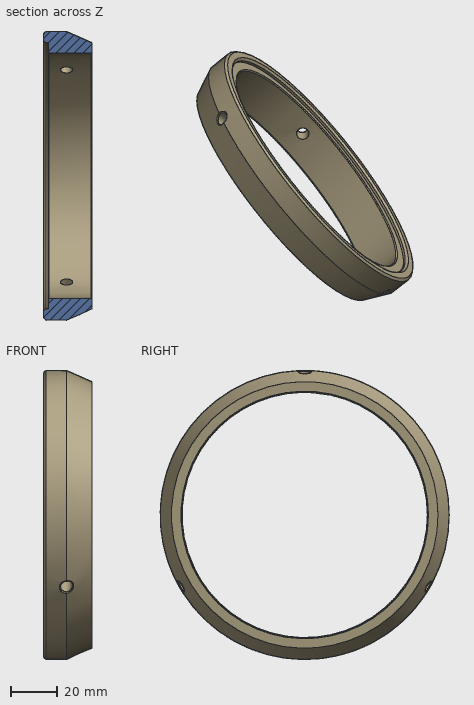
import cadquery as cq
import math

OUTER_DIAMETER = 125.0
WIDTH = 21.0
BORE_DIAMETER = 106.0
BORE_CHAMFER = 0.5

RIM_CHAMFER = 1.0
BAND_WIDTH = 10.0
CONE_ANGLE = 24.0

RECESS_DIAMETER = 115.0
RECESS_DEPTH = 2.0
RECESS_CHAMFER = 1.0

HOLE_COUNT = 3
HOLE_DIAMETER = 5.25
HOLE_CHAMFER = 0.5

outer_radius = OUTER_DIAMETER / 2
bore_radius = BORE_DIAMETER / 2
recess_radius = RECESS_DIAMETER / 2
wall_thickness = outer_radius - bore_radius
cone_end_radius = outer_radius - (WIDTH - BAND_WIDTH) * math.tan(math.radians(CONE_ANGLE))

x_left = -WIDTH / 2
x_right = WIDTH / 2
x_band_end = x_left + BAND_WIDTH
x_recess_floor = x_left + RECESS_DEPTH


def make_ring():
    """Revolve the wall section, given as (axial, radial) points, around X."""
    section = [
        (x_left, outer_radius - RIM_CHAMFER),
        (x_left + RIM_CHAMFER, outer_radius),
        (x_band_end, outer_radius),
        (x_right, cone_end_radius),
        (x_right, bore_radius + BORE_CHAMFER),
        (x_right - BORE_CHAMFER, bore_radius),
        (x_recess_floor + BORE_CHAMFER, bore_radius),
        (x_recess_floor, bore_radius + BORE_CHAMFER),
        (x_recess_floor, recess_radius),
        (x_left + RECESS_CHAMFER, recess_radius),
        (x_left, recess_radius + RECESS_CHAMFER),
    ]
    return cq.Workplane("XY").polyline(section).close().revolve(360, (0, 0, 0), (1, 0, 0))


def place_at_hole(shape, radial_position, angle):
    """Move a shape out along +Z at the hole station, then turn it about the ring axis."""
    return shape.translate((x_band_end, 0, radial_position)).rotate((0, 0, 0), (1, 0, 0), angle)


def make_hole_drill(angle):
    """Cylinder that passes through the wall on one side of the ring."""
    drill = cq.Workplane("XY").circle(HOLE_DIAMETER / 2).extrude(2 * wall_thickness)
    drill = drill.rotate((0, 0, 0), (0, 0, 1), 180)
    return place_at_hole(drill, bore_radius - wall_thickness / 2, angle)


def make_rim_box(angle):
    """Box that encloses the rim of one hole on the outer surface only."""
    box_size = 2 * HOLE_DIAMETER
    box = cq.Workplane("XY").box(box_size, box_size, wall_thickness)
    return place_at_hole(box, outer_radius, angle)


def add_hole(ring, angle):
    """Drill one radial hole and chamfer its rim evenly across the band and the cone."""
    drilled = ring.cut(make_hole_drill(angle))
    rim_box = make_rim_box(angle).val()
    nearby = [edge for edge in drilled.edges().vals() if rim_box.isInside(edge.Center())]
    rim = [edge for edge in nearby if edge.geomType() not in ("LINE", "CIRCLE")]
    return drilled.newObject(rim).chamfer(HOLE_CHAMFER)


result = make_ring()
for hole_index in range(HOLE_COUNT):
    result = add_hole(result, hole_index * 360 / HOLE_COUNT)